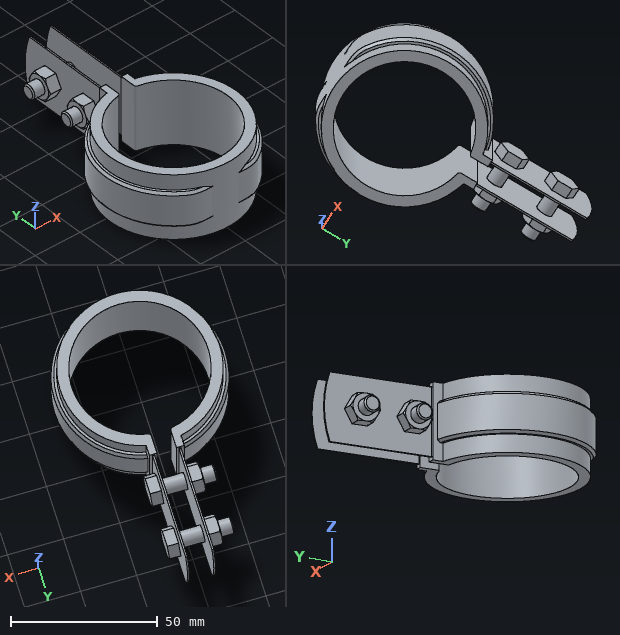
import cadquery as cq
import math


bore_radius = 24.3
ring_radius = 28.4
ring_height = 28.0
lug_inner_x = 3.4
lug_outer_x = 6.2
lug_end_y = 31.5
mouth_fillet = 1.0

band_radius = 30.4
band_height = 14.9
band_chamfer = 1.0
band_flat_y = -27.8
band_corner_radius = 13.4

strap_thickness = 0.7
strap_width = 25.0
tab_outer_x = 5.0
tab_inner_x = tab_outer_x - strap_thickness
overall_length = 100.7
tab_end_y = overall_length - ring_radius
tab_end_bulge = 2.1
strap_inner_radius = (bore_radius + ring_radius - strap_thickness) / 2
strap_outer_radius = strap_inner_radius + strap_thickness

bolt_pitch = 20.0
first_bolt_y = 38.9
bolt_places_y = [first_bolt_y, first_bolt_y + bolt_pitch]
bolt_diameter = 6.0
bolt_tip_diameter = 4.9
bolt_tip_chamfer = (bolt_diameter - bolt_tip_diameter) / 2
bolt_tip_x = -15.1
head_thickness = 4.0
nut_thickness = 5.0
hex_across_flats = 10.0
hex_across_corners = hex_across_flats / math.cos(math.radians(30))
nut_chamfer_angle = 30


def disc(radius, height):
    """Cylinder about the pipe axis, centred on the mid-height plane."""
    return cq.Workplane("XY").circle(radius).extrude(height / 2, both=True)


def block(x_min, x_max, y_min, y_max, height):
    """Box between the given X and Y limits, centred on the mid-height plane."""
    outline = cq.Workplane("XY").moveTo(x_min, y_min).lineTo(x_max, y_min)
    outline = outline.lineTo(x_max, y_max).lineTo(x_min, y_max).close()
    return outline.extrude(height / 2, both=True)


def make_band():
    """Disc with one flat, blended into it by arcs tangent to both, with chamfered rims."""
    corner_y = band_flat_y + band_corner_radius
    corner_distance = band_radius - band_corner_radius
    corner_x = math.sqrt(corner_distance**2 - corner_y**2)
    rim_x = corner_x * band_radius / corner_distance
    rim_y = corner_y * band_radius / corner_distance
    mid_angle = (math.atan2(corner_y, corner_x) - math.pi / 2) / 2
    mid_x = corner_x + band_corner_radius * math.cos(mid_angle)
    mid_y = corner_y + band_corner_radius * math.sin(mid_angle)
    outline = cq.Workplane("XY").moveTo(-corner_x, band_flat_y).lineTo(corner_x, band_flat_y)
    outline = outline.threePointArc((mid_x, mid_y), (rim_x, rim_y))
    outline = outline.threePointArc((0, band_radius), (-rim_x, rim_y))
    outline = outline.threePointArc((-mid_x, mid_y), (-corner_x, band_flat_y)).close()
    band = outline.extrude(band_height / 2, both=True)
    return band.faces("|Z").edges().chamfer(band_chamfer)


def make_liner(strap):
    """Ring with band and lugs, split by the gap and hollowed where the strap is embedded."""
    lugs = block(-lug_outer_x, lug_outer_x, bore_radius, lug_end_y, ring_height)
    lug_space = block(-lug_outer_x, lug_outer_x, bore_radius, lug_end_y, band_height)
    liner = disc(ring_radius, ring_height).union(make_band().cut(lug_space)).union(lugs)
    gap = block(-lug_inner_x, lug_inner_x, 0, lug_end_y, ring_height)
    liner = liner.cut(disc(bore_radius, ring_height)).cut(gap)
    mouth_y = math.sqrt(bore_radius**2 - lug_inner_x**2)
    for side in (-1, 1):
        mouth_edge = cq.selectors.NearestToPointSelector((side * lug_inner_x, mouth_y, 0))
        liner = liner.edges("|Z").edges(mouth_edge).fillet(mouth_fillet)
    return liner.cut(strap)


def make_strap():
    """Open sheet hoop with two parallel tabs, each with a rounded end and bolt holes."""
    half_width = strap_width / 2
    tab_start_y = math.sqrt(strap_inner_radius**2 - tab_inner_x**2)
    corner_y = tab_end_y - tab_end_bulge
    outline = cq.Workplane("YZ").moveTo(tab_start_y, -half_width).lineTo(corner_y, -half_width)
    outline = outline.threePointArc((tab_end_y, 0), (corner_y, half_width))
    outline = outline.lineTo(tab_start_y, half_width).close()
    tabs = outline.extrude(tab_outer_x, both=True)
    hoop = disc(strap_outer_radius, strap_width).cut(disc(strap_inner_radius, strap_width))
    strap = hoop.union(tabs).cut(block(-tab_inner_x, tab_inner_x, 0, tab_end_y, strap_width))
    for y in bolt_places_y:
        strap = strap.cut(bolt_rod(y))
    return strap


def bolt_rod(y):
    """Plain shank along X from the bolt tip to the underside of the head."""
    plane = cq.Workplane("YZ", origin=(bolt_tip_x, y, 0))
    return plane.circle(bolt_diameter / 2).extrude(tab_outer_x - bolt_tip_x)


def hex_prism(x_start, y, length):
    """Hexagonal prism along X with two corners on the Y axis through its centre."""
    plane = cq.Workplane("YZ", origin=(x_start, y, 0))
    return plane.polygon(6, hex_across_corners).extrude(length)


def make_bolt(y):
    """Hexagon bolt with its head on the +X tab and a chamfered tip."""
    shank = bolt_rod(y).faces("<X").chamfer(bolt_tip_chamfer)
    return shank.union(hex_prism(tab_outer_x, y, head_thickness))


def make_nut(y):
    """Hexagon nut against the -X tab, its corners bevelled on the outer face."""
    outer_x = -tab_outer_x - nut_thickness
    corner_radius = hex_across_corners / 2
    face_radius = hex_across_flats / 2
    bevel_depth = (corner_radius - face_radius) * math.tan(math.radians(nut_chamfer_angle))
    turned = cq.Workplane("XY").moveTo(outer_x, 0).lineTo(outer_x, face_radius)
    turned = turned.lineTo(outer_x + bevel_depth, corner_radius).lineTo(-tab_outer_x, corner_radius)
    turned = turned.lineTo(-tab_outer_x, 0).close().revolve(360, (0, 0, 0), (1, 0, 0))
    nut = hex_prism(outer_x, y, nut_thickness).intersect(turned.translate((0, y, 0)))
    return nut.cut(bolt_rod(y))


strap = make_strap()
liner = make_liner(strap)
bolts = [make_bolt(y) for y in bolt_places_y]
nuts = [make_nut(y) for y in bolt_places_y]

fasteners = [body.val() for body in bolts + nuts]
result = cq.Compound.makeCompound([liner.val(), strap.val(), *fasteners])